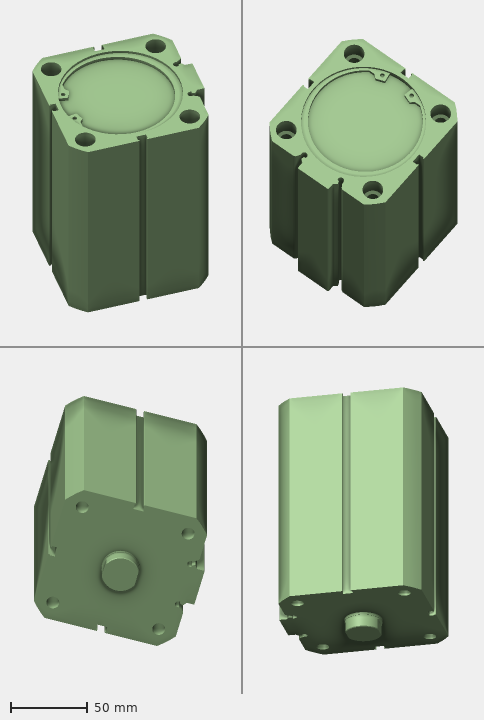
import cadquery as cq
import math

total_height = 152
rod_reach = 10.0
block_height = total_height - rod_reach
block_width = 96.5
half_width = block_width / 2
corner_radius = 61.5

rail_top = 102.0 - half_width
rail_half_width = 12.8
rail_edge_chamfer = 0.5
rail_flank_bottom = 48.6
rail_lip_reach = 15.2
rail_lip_tip = 46.7
rail_lip_back = 14.5
rail_lip_bottom = 44.5
rail_neck_half_width = 13.0
channel_radius = 2.1
channel_bottom = 41.3
channel_wall_top = 44.5
channel_lean = math.radians(30)
channel_rim = 1.4

slot_depth = 4.5
slot_half_width = 3.3
slot_mouth_half_width = 2.6
slot_lip = 0.9
slot_mouth_bevel = 0.3

mount_spacing = 72.0
mount_diameter = 8.5
mount_head_diameter = 13.5
mount_head_depth = 13.7

bore_radius = 40.96
ring_recess = 1.8
ring_thickness = 2.5
cover_thickness = 9.1
ring_inner_radius = 37.7
ring_inner_offset = 2.0
ear_base = (16.9, -33.1)
ear_peak = (14.3, -30.9)
ear_tip = (8.0, -33.1)
ear_foot = 9.3
ear_hole = (12.2, -35.5)
ear_hole_diameter = 3.0

rod_radius = 12.6
rod_shoulder = 1.7
rod_end_radius = 12.3
rod_end_chamfer = 0.5
flat_half_width = 11.0

ring_top = block_height - ring_recess
cover_top = ring_top - ring_thickness
cover_bottom = cover_top - cover_thickness


def cylinder(radius, bottom, top):
    return cq.Workplane("XY").workplane(offset=bottom).circle(radius).extrude(top - bottom)


def mirrored(points):
    return [(-x, y) for x, y in points]


def make_rail():
    right = [
        (rail_neck_half_width, channel_bottom),
        (rail_neck_half_width, rail_lip_bottom),
        (rail_lip_back, rail_lip_bottom),
        (rail_lip_reach, rail_lip_tip),
        (rail_half_width, rail_flank_bottom),
        (rail_half_width, rail_top - rail_edge_chamfer),
        (rail_half_width - rail_edge_chamfer, rail_top),
    ]
    return cq.Workplane("XY").polyline(right + mirrored(right)[::-1]).close().extrude(block_height)


def make_channel():
    """Opening on the +X side of the rail: round floor, leaning outer wall and rounded rim."""
    centre_x = rail_neck_half_width + channel_radius
    centre_y = channel_bottom + channel_radius
    wall_x = centre_x + channel_radius
    corner_x = wall_x + (half_width - channel_wall_top) * math.tan(channel_lean)
    rim_x = corner_x - channel_rim * math.sin(channel_lean)
    rim_y = half_width - channel_rim * math.cos(channel_lean)
    return (
        cq.Workplane("XY")
        .moveTo(rail_neck_half_width, half_width)
        .lineTo(rail_neck_half_width, centre_y)
        .threePointArc((centre_x, channel_bottom), (wall_x, centre_y))
        .lineTo(wall_x, channel_wall_top)
        .lineTo(rim_x, rim_y)
        .tangentArcPoint((corner_x + channel_rim, half_width), relative=False)
        .close()
        .extrude(block_height)
    )


def make_slot():
    """T-slot in the -Y face, with a bevelled mouth."""
    half_section = [
        (slot_mouth_half_width + slot_mouth_bevel, -half_width),
        (slot_mouth_half_width, slot_mouth_bevel - half_width),
        (slot_mouth_half_width, slot_lip - half_width),
        (slot_half_width, slot_lip - half_width),
        (slot_half_width, slot_depth - half_width),
    ]
    outline = half_section + mirrored(half_section)[::-1]
    return cq.Workplane("XY").polyline(outline).close().extrude(block_height)


def make_housing():
    block = cq.Workplane("XY").rect(block_width, block_width).extrude(block_height)
    block = block.intersect(cylinder(corner_radius, 0, block_height))

    channel = make_channel()
    block = block.cut(channel).cut(channel.mirror("YZ"))
    block = block.union(make_rail())

    for angle in (-90, 0, 90):
        block = block.cut(make_slot().rotate((0, 0, 0), (0, 0, 1), angle))

    block = (
        block.faces(">Z")
        .workplane(origin=(0, 0, block_height))
        .rect(mount_spacing, mount_spacing, forConstruction=True)
        .vertices()
        .cboreHole(mount_diameter, mount_head_diameter, mount_head_depth)
    )
    block = block.cut(cylinder(bore_radius, cover_bottom, block_height))
    return block.cut(cylinder(rod_radius, 0, cover_bottom))


def make_ring():
    """Internal retaining ring, open toward -Y, with a plier ear at each end."""
    foot_y = -math.sqrt(bore_radius**2 - ear_foot**2)
    drop = -ear_base[1] - ring_inner_offset
    inner_end_x = math.sqrt(ring_inner_radius**2 - drop**2)
    right_ear = [(inner_end_x, ear_base[1]), ear_base, ear_peak, ear_tip, (ear_foot, foot_y)]
    left_ear = mirrored(right_ear)
    outline = cq.Workplane("XY").workplane(offset=cover_top).moveTo(*right_ear[0])
    for point in right_ear[1:]:
        outline = outline.lineTo(*point)
    outline = outline.threePointArc((0, bore_radius), left_ear[-1])
    for point in left_ear[-2::-1]:
        outline = outline.lineTo(*point)
    inner_top = (0, ring_inner_radius - ring_inner_offset)
    ring = outline.threePointArc(inner_top, right_ear[0]).close().extrude(ring_thickness)

    for x, y in [ear_hole] + mirrored([ear_hole]):
        ring = ring.cut(cylinder(ear_hole_diameter / 2, cover_top, ring_top).translate((x, y, 0)))
    return ring


def make_rod():
    """Stepped rod with two wrench flats on its end, each running out in a 45 degree ramp."""
    shank = cylinder(rod_radius, -rod_shoulder, cover_bottom)
    end = cylinder(rod_end_radius, -rod_reach, -rod_shoulder)
    end = end.faces("<Z").chamfer(rod_end_chamfer)
    ramp = rod_end_radius - flat_half_width
    flats = (
        cq.Workplane("YZ")
        .polyline([
            (rod_end_radius, -rod_shoulder),
            (flat_half_width, -rod_shoulder - ramp),
            (flat_half_width, -rod_reach),
            (-flat_half_width, -rod_reach),
            (-flat_half_width, -rod_shoulder - ramp),
            (-rod_end_radius, -rod_shoulder),
        ])
        .close()
        .extrude(rod_end_radius, both=True)
    )
    return shank.union(end.intersect(flats))


housing = make_housing()
cover = cylinder(bore_radius, cover_bottom, cover_top)
retaining_ring = make_ring()
rod = make_rod()

result = cq.Compound.makeCompound([housing.val(), cover.val(), retaining_ring.val(), rod.val()])